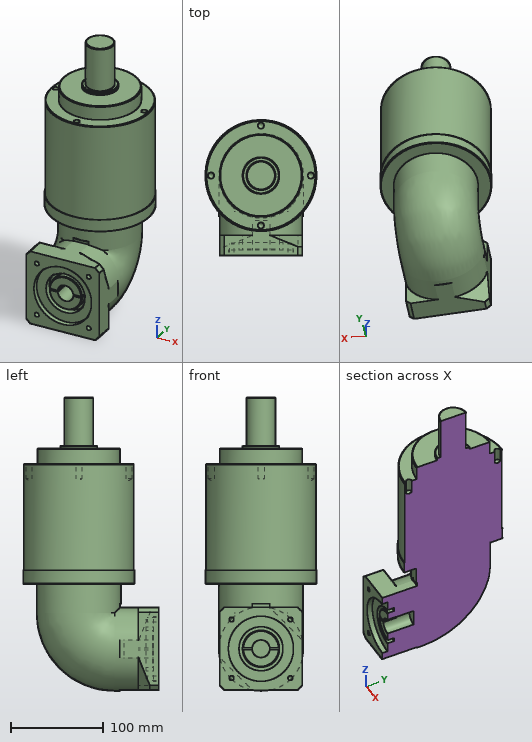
import cadquery as cq
import math

overall_height = 318.8

shaft_radius = 16.0
shaft_chamfer = 1.0
collar_radius = 20.0
collar_top = 266.5
pilot_radius = 45.0
pilot_top = 263.5
body_radius = 60.0
body_top = 246.8
ring_radius = 60.5
ring_top = 131.0
ring_bottom = 116.0
edge_chamfer = 1.0

mount_count = 4
mount_circle_radius = 54.2
mount_hole_diameter = 6.7
mount_hole_depth = 16.0

drill_angle = 118.0

pipe_radius = 46.0
bend_radius = 39.0
input_z = pipe_radius
bend_top = input_z + bend_radius

flange_side = 90.0
flange_half = flange_side / 2
flange_thickness = 22.3
flange_front = -87.0
flange_back = flange_front + flange_thickness
flange_corner = 5.0
corner_thickness = 10.0
flange_hole_offset = 32.0
flange_hole_diameter = 5.0
flange_hole_depth = 12.8

flat_length = 20.5
flat_clearance = 3.8
flat_half_width = math.sqrt(pipe_radius**2 - flange_half**2)

recess_radius = 35.5
recess_depth = 6.5
groove_outer_radius = 24.0
groove_depth = 8.0
hub_radius = 20.0
hub_chamfer = 1.0
hub_bore_radius = 9.5
hub_bore_depth = 32.0
slit_width = 2.0
slit_depth = 16.0


def cylinder_z(radius, bottom, top):
    return cq.Workplane("XY").workplane(offset=bottom).circle(radius).extrude(top - bottom)


def input_plane(y):
    """Plane across the input axis at the given y, with its normal toward +Y."""
    return cq.Workplane(cq.Plane(origin=(0, y, input_z), xDir=(-1, 0, 0), normal=(0, 1, 0)))


def drilled_hole(diameter, depth):
    """Cutter for a blind hole that opens at the origin and runs down to a conical tip."""
    radius = diameter / 2
    tip_depth = depth + radius / math.tan(math.radians(drill_angle / 2))
    half_section = [(0, 0), (radius, 0), (radius, -depth), (0, -tip_depth)]
    return cq.Workplane("XZ").polyline(half_section).close().revolve(360, (0, 0, 0), (0, 1, 0)).val()


def make_housing():
    ring = cylinder_z(ring_radius, ring_bottom, ring_top).faces("<Z").edges().chamfer(edge_chamfer)
    body = cylinder_z(body_radius, ring_top, body_top).faces(">Z").edges().chamfer(edge_chamfer)
    pilot = cylinder_z(pilot_radius, body_top, pilot_top).faces(">Z").edges().chamfer(edge_chamfer)
    collar = cylinder_z(collar_radius, pilot_top, collar_top).faces(">Z").edges().chamfer(edge_chamfer)
    shaft = cylinder_z(shaft_radius, collar_top, overall_height)
    shaft = shaft.faces(">Z").edges().chamfer(shaft_chamfer)
    drill = drilled_hole(mount_hole_diameter, mount_hole_depth)
    holes = (
        cq.Workplane("XY")
        .workplane(offset=body_top)
        .polarArray(mount_circle_radius, 0, 360, mount_count)
        .eachpoint(drill, useLocalCoordinates=True, combine=False)
    )
    return ring.union(body).union(pilot).union(collar).union(shaft).cut(holes)


def make_elbow():
    chord_half = math.sqrt(pipe_radius**2 - bend_radius**2)
    bend = (
        cq.Workplane("XY")
        .workplane(offset=bend_top)
        .moveTo(-chord_half, -bend_radius)
        .threePointArc((0, pipe_radius), (chord_half, -bend_radius))
        .close()
        .revolve(90, (0, -bend_radius, 0), (-1, -bend_radius, 0))
    )
    vertical_leg = cylinder_z(pipe_radius, bend_top, ring_bottom)
    input_leg = input_plane(flange_back).circle(pipe_radius).extrude(-bend_radius - flange_back)
    return vertical_leg.union(bend).union(input_leg)


def make_flats():
    """Cutters for the four flats, each in line with one side of the flange."""
    flat = (
        input_plane(flange_back)
        .center(0, flange_half + flat_clearance / 2)
        .rect(2 * flat_half_width, flat_clearance)
        .extrude(flat_length)
    )
    flats = flat
    for angle in (90, 180, 270):
        flats = flats.union(flat.rotate((0, 0, input_z), (0, 1, input_z), angle))
    return flats


def make_flange():
    flange = input_plane(flange_front).rect(flange_side, flange_side).extrude(flange_thickness)
    flange = flange.edges("|Y").chamfer(flange_corner)

    back_distance = (flange_half + flat_half_width) / math.sqrt(2)
    chamfer_distance = (flange_side - flange_corner) / math.sqrt(2)
    chamfer_y = flange_front + corner_thickness
    slope = (flange_back - chamfer_y) / (chamfer_distance - back_distance)
    outer_distance = flange_side
    outer_y = flange_back - slope * (outer_distance - back_distance)
    wedge_outline = [(back_distance, flange_back), (outer_distance, flange_back), (outer_distance, outer_y)]
    wedge = (
        cq.Workplane("XY")
        .polyline(wedge_outline)
        .close()
        .extrude(flange_side, both=True)
        .translate((0, 0, input_z))
    )
    for angle in (135, 315):
        flange = flange.cut(wedge.rotate((0, 0, input_z), (0, 1, input_z), angle))
    return flange


def cut_motor_side(part):
    recess = input_plane(flange_front).circle(recess_radius).extrude(recess_depth)
    hub_face = flange_front + recess_depth
    groove = input_plane(hub_face).circle(groove_outer_radius).extrude(groove_depth)
    hub = input_plane(hub_face).circle(hub_radius).extrude(groove_depth)
    hub = hub.faces("<Y").edges().chamfer(hub_chamfer)
    bore = input_plane(hub_face).circle(hub_bore_radius).extrude(hub_bore_depth)
    slit = input_plane(hub_face).rect(2 * hub_radius, slit_width).extrude(slit_depth)
    drill = drilled_hole(flange_hole_diameter, flange_hole_depth).rotate((0, 0, 0), (1, 0, 0), 180)
    holes = (
        input_plane(flange_front)
        .rect(2 * flange_hole_offset, 2 * flange_hole_offset, forConstruction=True)
        .vertices()
        .eachpoint(drill, useLocalCoordinates=True, combine=False)
    )
    return part.cut(recess).cut(groove.cut(hub)).cut(bore).cut(slit).cut(holes)


elbow = make_elbow().cut(make_flats())
result = cut_motor_side(make_housing().union(elbow).union(make_flange())).solids()